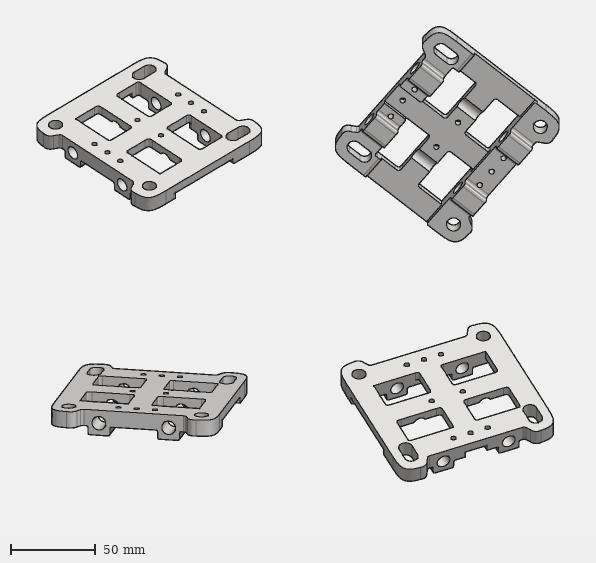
import cadquery as cq
import math

length = 100.0
width = 97.9
height = 15.5
plate_thickness = 10.0
web_thickness = 6.0
plate_bottom = height - plate_thickness
web_bottom = height - web_thickness

edge_y = 42.1
ear_slant = math.radians(60)
ear_root_radius = 2.0
ear_root_end_x = 30.0
ear_flank_end_x = 33.4
ear_tip_radius = 4.5
ear_tip_end_x = 38.9
ear_side_y = 34.0
ear_shoulder = (46.5, 47.0)

window_inner_x = 7.0
window_outer_x = 36.0
window_inner_y = 7.0
window_outer_y = 25.6
leg_end_y = 20.5

web_corner = 3.0
rail_corner = 2.0
leg_corner = 2.0
pad_corner = 2.0
pad_shoulder = 3.0
handle_reach = 0.9

rod_x = 21.0
rod_z = 7.5
bore_diameter = 8.2
pad_wall = 2.5
pad_width = bore_diameter + 2 * pad_wall

mount_x = 40.0
mount_y = 38.0
mount_diameter = 8.2
slot_travel = 8.0

rail_hole_pitch = 11.0
rail_hole_y = 34.0
rail_hole_diameter = 3.1
center_hole_x = 10.0
center_hole_diameter = 3.0


def box(x_range, y_range, z_range):
    """Box between the given limits on each axis."""
    limits = (x_range, y_range, z_range)
    sizes = [high - low for low, high in limits]
    corner = tuple(low for low, high in limits)
    return cq.Workplane("XY").box(*sizes, centered=False).translate(corner)


def through_holes(points, diameter):
    """Vertical cylinders through the full height."""
    return cq.Workplane("XY").pushPoints(points).circle(diameter / 2).extrude(height)


def blended_outline(workplane, corners):
    """Closed outline through (x, y, setback) corners; a setback of 0 leaves the corner sharp."""
    def toward(start, end, distance):
        share = distance / math.dist(start, end)
        return tuple(a + (b - a) * share for a, b in zip(start, end))

    outline = workplane
    for i, (x, y, setback) in enumerate(corners):
        corner = (x, y)
        before = toward(corner, corners[i - 1][:2], setback)
        after = toward(corner, corners[(i + 1) % len(corners)][:2], setback)
        if i == 0:
            outline = outline.moveTo(*before)
        else:
            outline = outline.lineTo(*before)
        if setback > 0:
            handle_gap = setback * (1 - handle_reach)
            handle_in = toward(corner, before, handle_gap)
            handle_out = toward(corner, after, handle_gap)
            outline = outline.bezier([handle_in, handle_out, after], includeCurrent=True)
    return outline.close()


def plate():
    """Solid plate with four ears, made from one quadrant mirrored about X and Y."""
    tip_y = width / 2
    root_x = ear_root_end_x + ear_root_radius * math.sin(ear_slant)
    root_y = edge_y + ear_root_radius * (1 - math.cos(ear_slant))
    root_mid_x = ear_root_end_x + ear_root_radius * math.sin(ear_slant / 2)
    root_mid_y = edge_y + ear_root_radius * (1 - math.cos(ear_slant / 2))
    flank_end_y = root_y + (ear_flank_end_x - root_x) * math.tan(ear_slant)
    tip_center_y = tip_y - ear_tip_radius
    tip_x = ear_flank_end_x + math.sqrt(ear_tip_radius**2 - (flank_end_y - tip_center_y) ** 2)
    tip_end_y = tip_center_y + math.sqrt(ear_tip_radius**2 - (ear_tip_end_x - tip_x) ** 2)

    quadrant = (
        cq.Workplane("XY", origin=(0, 0, plate_bottom))
        .lineTo(length / 2, 0)
        .lineTo(length / 2, ear_side_y)
        .spline(
            [ear_shoulder, (ear_tip_end_x, tip_end_y)],
            tangents=[(0, 1), (-1, 0)],
            includeCurrent=True,
        )
        .threePointArc((tip_x, tip_y), (ear_flank_end_x, flank_end_y))
        .lineTo(root_x, root_y)
        .threePointArc((root_mid_x, root_mid_y), (ear_root_end_x, edge_y))
        .lineTo(0, edge_y)
        .close()
        .extrude(plate_thickness)
    )
    half = quadrant.union(quadrant.mirror("YZ"))
    return half.union(half.mirror("XZ")).clean()


def pads():
    """Pads under both rails, rounded at the bottom and blended into the plate."""
    half_width = pad_width / 2
    flare = half_width + pad_shoulder
    corners = [
        (-flare, web_bottom, 0),
        (-flare, plate_bottom, 0),
        (-half_width, plate_bottom, pad_corner),
        (-half_width, 0, pad_corner),
        (half_width, 0, pad_corner),
        (half_width, plate_bottom, pad_corner),
        (flare, plate_bottom, 0),
        (flare, web_bottom, 0),
    ]
    pad = blended_outline(cq.Workplane("XZ"), corners).extrude(edge_y - window_outer_y)
    pad_set = cq.Workplane("XY")
    for x in (-rod_x, rod_x):
        for back_y in (edge_y, -window_outer_y):
            pad_set = pad_set.add(pad.translate((x, back_y, 0)))
    return pad_set.combine()


def channel():
    """Underside relief that leaves the front rail, two back rail halves and two back legs."""
    half_length = length / 2
    relief = box((-half_length, half_length), (-edge_y, edge_y), (0, web_bottom))
    front_rail = [
        (-half_length, -window_outer_y, leg_corner),
        (half_length, -window_outer_y, leg_corner),
        (half_length, -edge_y, 0),
        (-half_length, -edge_y, 0),
    ]
    relief = relief.cut(blended_outline(cq.Workplane("XY"), front_rail).extrude(web_bottom))

    back_rail = [
        (window_inner_x, window_outer_y, rail_corner),
        (half_length, window_outer_y, 0),
        (half_length, edge_y, 0),
        (window_inner_x, edge_y, 0),
    ]
    rail_half = blended_outline(cq.Workplane("XY"), back_rail).extrude(web_bottom)

    leg_profile = [
        (leg_end_y, web_bottom, 0),
        (leg_end_y, plate_bottom, leg_corner),
        (window_outer_y, plate_bottom, 0),
        (window_outer_y, web_bottom, 0),
    ]
    leg_inner_x = window_outer_x - rail_corner
    leg_plane = cq.Workplane("YZ", origin=(leg_inner_x, 0, 0))
    leg = blended_outline(leg_plane, leg_profile).extrude(half_length - leg_inner_x)

    for remaining in (rail_half, leg):
        relief = relief.cut(remaining).cut(remaining.mirror("YZ"))
    return relief


def windows():
    """Four windows; the outer front corners stay sharp."""
    cutter = cq.Workplane("XY")
    for side in (-1, 1):
        inner_x = side * window_inner_x
        outer_x = side * window_outer_x
        for end, outer_setback in ((-1, 0), (1, rail_corner)):
            corners = [
                (inner_x, end * window_inner_y, web_corner),
                (outer_x, end * window_inner_y, web_corner),
                (outer_x, end * window_outer_y, outer_setback),
                (inner_x, end * window_outer_y, rail_corner),
            ]
            cutter = cutter.add(blended_outline(cq.Workplane("XY"), corners).extrude(height))
    return cutter.combine()


def rod_bores():
    """Two bores along Y through both rails, grazing the underside of the web."""
    return (
        cq.Workplane("XZ", origin=(0, 0, rod_z))
        .pushPoints([(-rod_x, 0), (rod_x, 0)])
        .circle(bore_diameter / 2)
        .extrude(width / 2, both=True)
    )


def mounting_slots():
    """Slots in the back ears, elongated along Y."""
    return (
        cq.Workplane("XY")
        .pushPoints([(x, mount_y - slot_travel / 2) for x in (-mount_x, mount_x)])
        .slot2D(slot_travel + mount_diameter, mount_diameter, 90)
        .extrude(height)
    )


mount_points = [(x, -mount_y) for x in (-mount_x, mount_x)]
rail_points = [
    (i * rail_hole_pitch, y)
    for i in (-1, 0, 1)
    for y in (-rail_hole_y, rail_hole_y)
]
center_points = [(-center_hole_x, 0), (center_hole_x, 0)]

result = (
    plate()
    .cut(channel())
    .union(pads())
    .cut(windows())
    .cut(rod_bores())
    .cut(mounting_slots())
    .cut(through_holes(mount_points, mount_diameter))
    .cut(through_holes(rail_points, rail_hole_diameter))
    .cut(through_holes(center_points, center_hole_diameter))
)